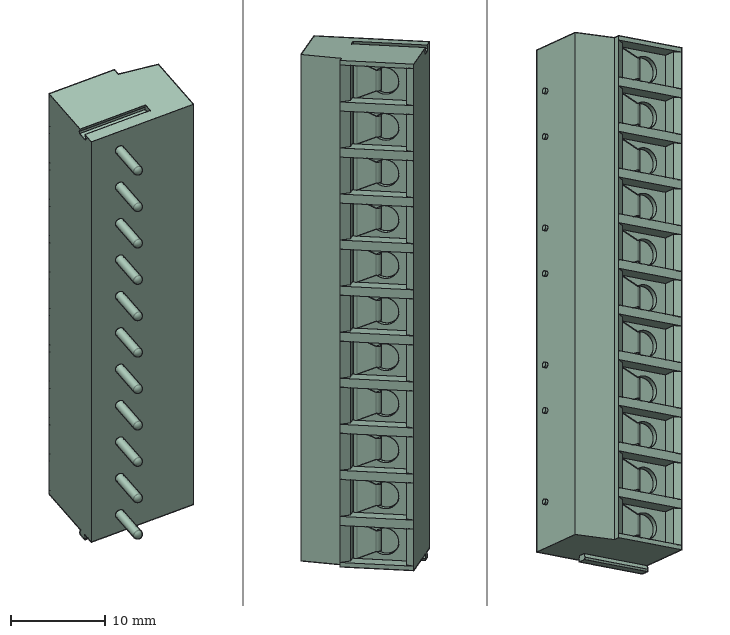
import cadquery as cq
import math

POLES = 11
PITCH = 5.08
LENGTH = POLES * PITCH

DEPTH = 9.1
HEIGHT = 12.5
LEDGE_Y = 8.0
SLOPE_START_X = 0.85
SLOPE_END_X = 1.55

DIVIDER = 1.0
POCKET_WIDTH = PITCH - DIVIDER
FLOOR_X = 1.9
POCKET_BOTTOM_Y = 0.85
POCKET_TOP_Y = 7.0
BOTTOM_LEAD_DEPTH = 0.35
TOP_LEAD_DEPTH = 0.75

PIN_Y = 3.45
PIN_RADIUS = 0.52
PIN_LENGTH = 4.4
PIN_DOME_HEIGHT = 0.5

HOLE_RADIUS = 1.47
HOLE_FLOOR_X = 2.55

LEAF_RISE = 0.1
LEAF_X = FLOOR_X - LEAF_RISE
LEAF_BEND_RADIUS = 0.45
LEAF_GAP = 0.05
LEAF_ROOT_Y = POCKET_TOP_Y - LEAF_GAP
LEAF_TIP_Y = 3.95
TONGUE_WIDTH = 2.3
RECESS_FLOOR_X = LEAF_X + LEAF_BEND_RADIUS

LOCK_X = 7.2
LOCK_DEPTH = 0.69
LOCK_WIDEST_DEPTH = 0.45
LOCK_NECK_WIDTH = 0.86
LOCK_WIDEST_WIDTH = 1.22
LOCK_TIP_WIDTH = 1.05
LOCK_CLEARANCE = 0.08

NUB_DIAMETER = 0.6
NUB_HEIGHT = 0.3
NUB_GROUP = 3


def pole_z(index):
    """Height of the centre of a pole, counted down from the upper end."""
    return LENGTH - (index + 0.5) * PITCH


def prism(points, width, z_center):
    """XY outline extruded along Z, centred on z_center."""
    start = cq.Workplane("XY", origin=(0, 0, z_center - width / 2))
    return start.polyline(points).close().extrude(width)


def housing():
    outline = [
        (0, 0),
        (DEPTH, 0),
        (DEPTH, HEIGHT),
        (SLOPE_END_X, HEIGHT),
        (SLOPE_START_X, LEDGE_Y),
        (0, LEDGE_Y),
    ]
    return prism(outline, LENGTH, LENGTH / 2)


def pocket(z):
    """Wire-entry pocket with a flared mouth and a recess for the bent leaf end."""
    outline = [
        (0, 0),
        (BOTTOM_LEAD_DEPTH, POCKET_BOTTOM_Y),
        (FLOOR_X, POCKET_BOTTOM_Y),
        (FLOOR_X, LEAF_ROOT_Y - LEAF_BEND_RADIUS),
        (RECESS_FLOOR_X, LEAF_ROOT_Y - LEAF_BEND_RADIUS),
        (RECESS_FLOOR_X, POCKET_TOP_Y),
        (TOP_LEAD_DEPTH, POCKET_TOP_Y),
        (0, LEDGE_Y),
    ]
    return prism(outline, POCKET_WIDTH, z)


def wire_hole(z):
    start = cq.Workplane("YZ", origin=(FLOOR_X, PIN_Y, z))
    return start.circle(HOLE_RADIUS).extrude(HOLE_FLOOR_X - FLOOR_X)


def leaf(z):
    """Rounded guard plate, trimmed to a taper that ends in a narrow tongue."""
    r = LEAF_BEND_RADIUS
    diagonal = r * (1 - math.sqrt(0.5))
    plate = (
        cq.Workplane("XY", origin=(0, 0, z - POCKET_WIDTH / 2))
        .moveTo(HOLE_FLOOR_X, LEAF_TIP_Y)
        .lineTo(LEAF_X + r, LEAF_TIP_Y)
        .threePointArc((LEAF_X + diagonal, LEAF_TIP_Y + diagonal), (LEAF_X, LEAF_TIP_Y + r))
        .lineTo(LEAF_X, LEAF_ROOT_Y - r)
        .threePointArc((LEAF_X + diagonal, LEAF_ROOT_Y - diagonal), (LEAF_X + r, LEAF_ROOT_Y))
        .lineTo(HOLE_FLOOR_X, LEAF_ROOT_Y)
        .close()
        .extrude(POCKET_WIDTH)
    )
    taper = (
        cq.Workplane("YZ", origin=(LEAF_X, 0, z))
        .polyline([
            (LEAF_TIP_Y, -TONGUE_WIDTH / 2),
            (LEAF_TIP_Y + r, -TONGUE_WIDTH / 2),
            (LEAF_ROOT_Y - r, -POCKET_WIDTH / 2),
            (LEAF_ROOT_Y, -POCKET_WIDTH / 2),
            (LEAF_ROOT_Y, POCKET_WIDTH / 2),
            (LEAF_ROOT_Y - r, POCKET_WIDTH / 2),
            (LEAF_TIP_Y + r, TONGUE_WIDTH / 2),
            (LEAF_TIP_Y, TONGUE_WIDTH / 2),
        ])
        .close()
        .extrude(HOLE_FLOOR_X - LEAF_X)
    )
    return plate.intersect(taper)


def pin(z):
    """Round pin with a domed tip, revolved about its own axis."""
    end_x = DEPTH + PIN_LENGTH
    shoulder_x = end_x - PIN_DOME_HEIGHT
    dome_radius = (PIN_RADIUS**2 + PIN_DOME_HEIGHT**2) / (2 * PIN_DOME_HEIGHT)
    half_angle = math.asin(PIN_RADIUS / dome_radius) / 2
    dome_center_x = end_x - dome_radius
    dome_mid = (
        dome_center_x + dome_radius * math.cos(half_angle),
        PIN_Y - dome_radius * math.sin(half_angle),
    )
    half_section = (
        cq.Workplane("XY", origin=(0, 0, z))
        .moveTo(DEPTH, PIN_Y)
        .lineTo(DEPTH, PIN_Y - PIN_RADIUS)
        .lineTo(shoulder_x, PIN_Y - PIN_RADIUS)
        .threePointArc(dome_mid, (end_x, PIN_Y))
        .close()
    )
    return half_section.revolve(360, (0, PIN_Y), (1, PIN_Y))


def lock_bar(base_z, clearance):
    """Hexagonal undercut bar below base_z, with its sides moved out by clearance."""
    neck = LOCK_NECK_WIDTH / 2 + clearance
    widest = LOCK_WIDEST_WIDTH / 2 + clearance
    tip = LOCK_TIP_WIDTH / 2 + clearance
    widest_z = base_z - LOCK_WIDEST_DEPTH
    tip_z = base_z - LOCK_DEPTH
    outline = [
        (LOCK_X - neck, base_z),
        (LOCK_X - widest, widest_z),
        (LOCK_X - tip, tip_z),
        (LOCK_X + tip, tip_z),
        (LOCK_X + widest, widest_z),
        (LOCK_X + neck, base_z),
    ]
    return cq.Workplane("XZ").polyline(outline).close().extrude(-LEDGE_Y)


def nub(z):
    start = cq.Workplane("XZ", origin=(LOCK_X, HEIGHT, z))
    return start.circle(NUB_DIAMETER / 2).extrude(-NUB_HEIGHT)


result = housing()

for index in range(POLES):
    center_z = pole_z(index)
    result = result.cut(pocket(center_z)).cut(wire_hole(center_z))
    result = result.union(leaf(center_z)).union(pin(center_z))

result = result.cut(lock_bar(LENGTH, LOCK_CLEARANCE)).union(lock_bar(0, 0))

for divider in range(1, POLES):
    if divider % NUB_GROUP != 0:
        result = result.union(nub(LENGTH - divider * PITCH))